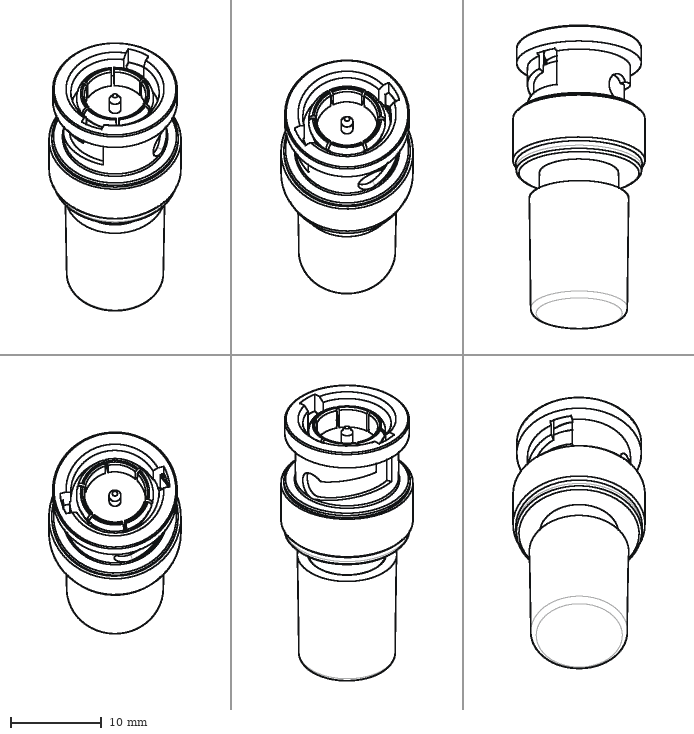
import cadquery as cq
import math


TOP_Z = 31.45
FLANGE_BOTTOM_Z = 29.53
FLANGE_CONE_END_Z = 29.03
CORE_TOP_Z = 28.12
NUT_TOP_Z = 23.45
NUT_STEP_Z = 23.0
NUT_BAND_BOTTOM_Z = 18.02
NUT_TAPER_Z = 17.2
NUT_BOTTOM_Z = 16.55
BODY_TOP_Z = 13.55

FLANGE_RADIUS = 6.9
FLANGE_CHAMFER = 0.15
BARREL_RADIUS = 5.7
BARREL_FOOT = 0.13
BORE_RADIUS = 4.87
LEAD_IN_WIDTH = 0.55
LEAD_IN_DEPTH = 0.55

CORE_RADIUS = 5.0
CHANNEL_HALF_WIDTH = 1.23
CHANNEL_RADIUS = 6.07
LATCH_RADIUS = 1.6
LATCH_Z = 25.3
SLOT_ANGLE = 14.5
SLOT_UPPER_OFFSET = 0.75

NUT_RADIUS = 7.3
NUT_STEP_RADIUS = 6.98
NUT_TOP_CHAMFER = 0.2
NUT_TAPER = 0.05
NUT_BOTTOM_CHAMFER = 0.28

NECK_RADIUS = 4.37
NECK_CHAMFER = 0.13
BODY_TOP_RADIUS = 5.5
BODY_BOTTOM_RADIUS = 5.35
BODY_FILLET = 0.6

CONTACT_TOP_Z = 30.63
CONTACT_INNER_RADIUS = 3.4
CONTACT_INNER_CHAMFER = 0.22
CONTACT_RIM_RADIUS = 3.8
CONTACT_BULGE_RADIUS = 4.25
CONTACT_WAIST_RADIUS = 3.9
CONTACT_BULGE_DROP = 0.7
CONTACT_GAPS = 6
GAP_WIDTH = 0.3

PIN_RADIUS = 0.65
PIN_TIP_RADIUS = 0.28
PIN_TOP_Z = 30.32
PIN_SHOULDER_Z = 29.65


def revolve(profile):
    """Spin a closed (radius, z) profile about the Z axis."""
    return profile.close().revolve(360, (0, 0), (0, 1))


def cylinder(radius, bottom, top):
    return cq.Workplane("XY").workplane(offset=bottom).circle(radius).extrude(top - bottom)


def prism_along_x(points, x_start, x_end):
    """Extrude a (y, z) outline from x_start to x_end."""
    return cq.Workplane("YZ").workplane(offset=x_start).polyline(points).close().extrude(x_end - x_start)


def make_sleeve():
    outline = cq.Workplane("XZ").polyline([
        (0, NUT_TOP_Z),
        (BARREL_RADIUS + BARREL_FOOT, NUT_TOP_Z),
        (BARREL_RADIUS, NUT_TOP_Z + 2 * BARREL_FOOT),
        (BARREL_RADIUS, FLANGE_CONE_END_Z),
        (FLANGE_RADIUS, FLANGE_BOTTOM_Z),
        (FLANGE_RADIUS, TOP_Z - FLANGE_CHAMFER),
        (FLANGE_RADIUS - FLANGE_CHAMFER, TOP_Z),
        (BORE_RADIUS + LEAD_IN_WIDTH, TOP_Z),
        (BORE_RADIUS, TOP_Z - LEAD_IN_DEPTH),
        (BORE_RADIUS, CORE_TOP_Z),
        (0, CORE_TOP_Z),
    ])
    return revolve(outline)


def make_bayonet_cutter():
    """Entry channel at -Y, ramp slot falling towards -X, and round latch hole at -X."""
    angle = math.radians(SLOT_ANGLE)
    run = NUT_RADIUS
    rise = run * math.tan(angle)

    def below_latch(offset):
        """Point at a distance under the latch centre, square to the ramp."""
        return (-offset * math.sin(angle), LATCH_Z - offset * math.cos(angle))

    def up_ramp(point):
        return (point[0] - run, point[1] + rise)

    ramp_low = below_latch(LATCH_RADIUS)
    ramp_high = below_latch(-SLOT_UPPER_OFFSET)
    far_low = up_ramp(ramp_low)
    far_high = up_ramp(ramp_high)

    slot = prism_along_x([ramp_low, far_low, far_high, ramp_high], -NUT_RADIUS, CHANNEL_HALF_WIDTH)
    channel = prism_along_x(
        [ramp_low, far_low, (far_low[0], TOP_Z), (ramp_low[0], TOP_Z)],
        -CHANNEL_HALF_WIDTH,
        CHANNEL_HALF_WIDTH,
    )
    latch = cq.Workplane("YZ").center(0, LATCH_Z).circle(LATCH_RADIUS).extrude(-NUT_RADIUS)
    reach = cylinder(CHANNEL_RADIUS, 0, TOP_Z)
    return slot.union(channel).union(latch).intersect(reach)


def make_nut():
    step_drop = NUT_RADIUS - NUT_STEP_RADIUS
    taper_end_radius = NUT_STEP_RADIUS - NUT_TAPER
    outline = cq.Workplane("XZ").polyline([
        (0, NUT_BOTTOM_Z),
        (taper_end_radius - NUT_BOTTOM_CHAMFER, NUT_BOTTOM_Z),
        (taper_end_radius, NUT_BOTTOM_Z + NUT_BOTTOM_CHAMFER),
        (NUT_STEP_RADIUS, NUT_TAPER_Z),
        (NUT_STEP_RADIUS, NUT_BAND_BOTTOM_Z - step_drop),
        (NUT_RADIUS, NUT_BAND_BOTTOM_Z),
        (NUT_RADIUS, NUT_STEP_Z),
        (NUT_STEP_RADIUS, NUT_STEP_Z),
        (NUT_STEP_RADIUS, NUT_TOP_Z - NUT_TOP_CHAMFER),
        (NUT_STEP_RADIUS - NUT_TOP_CHAMFER, NUT_TOP_Z),
        (0, NUT_TOP_Z),
    ])
    return revolve(outline)


def make_crimp_body():
    """Tapered crimp body with a rounded lower rim, and the neck joining it to the nut."""
    body = revolve(cq.Workplane("XZ").polyline([
        (0, 0),
        (BODY_BOTTOM_RADIUS, 0),
        (BODY_TOP_RADIUS, BODY_TOP_Z),
        (0, BODY_TOP_Z),
    ]))
    body = body.faces("<Z").edges().fillet(BODY_FILLET)
    neck = cylinder(NECK_RADIUS, BODY_TOP_Z, NUT_BOTTOM_Z).faces("<Z").chamfer(NECK_CHAMFER)
    return body.union(neck)


def make_outer_contact():
    """Ring with a bulging rim, split into springs by radial gaps."""
    outline = (
        cq.Workplane("XZ")
        .moveTo(CONTACT_INNER_RADIUS, CORE_TOP_Z)
        .lineTo(CONTACT_INNER_RADIUS, CONTACT_TOP_Z - CONTACT_INNER_CHAMFER)
        .lineTo(CONTACT_INNER_RADIUS + CONTACT_INNER_CHAMFER, CONTACT_TOP_Z)
        .lineTo(CONTACT_RIM_RADIUS, CONTACT_TOP_Z)
        .threePointArc(
            (CONTACT_BULGE_RADIUS, CONTACT_TOP_Z - CONTACT_BULGE_DROP),
            (CONTACT_WAIST_RADIUS, CONTACT_TOP_Z - 2 * CONTACT_BULGE_DROP),
        )
        .lineTo(CONTACT_WAIST_RADIUS, CORE_TOP_Z)
    )
    contact = revolve(outline)
    height = CONTACT_TOP_Z - CORE_TOP_Z
    gap = cq.Workplane("XY").workplane(offset=CORE_TOP_Z).rect(
        2 * CONTACT_BULGE_RADIUS + GAP_WIDTH, GAP_WIDTH
    ).extrude(height)
    for index in range(CONTACT_GAPS // 2):
        contact = contact.cut(gap.rotate((0, 0, 0), (0, 0, 1), index * 360 / CONTACT_GAPS))
    return contact


def make_pin():
    return revolve(cq.Workplane("XZ").polyline([
        (0, CORE_TOP_Z),
        (PIN_RADIUS, CORE_TOP_Z),
        (PIN_RADIUS, PIN_SHOULDER_Z),
        (PIN_TIP_RADIUS, PIN_TOP_Z),
        (0, PIN_TOP_Z),
    ]))


bayonet_cutter = make_bayonet_cutter()
sleeve = make_sleeve()
for turn in (0, 180):
    sleeve = sleeve.cut(bayonet_cutter.rotate((0, 0, 0), (0, 0, 1), turn))

core = cylinder(CORE_RADIUS, NUT_TOP_Z, CORE_TOP_Z)

result = sleeve.union(core)
for part in (make_nut(), make_crimp_body(), make_outer_contact(), make_pin()):
    result = result.union(part)